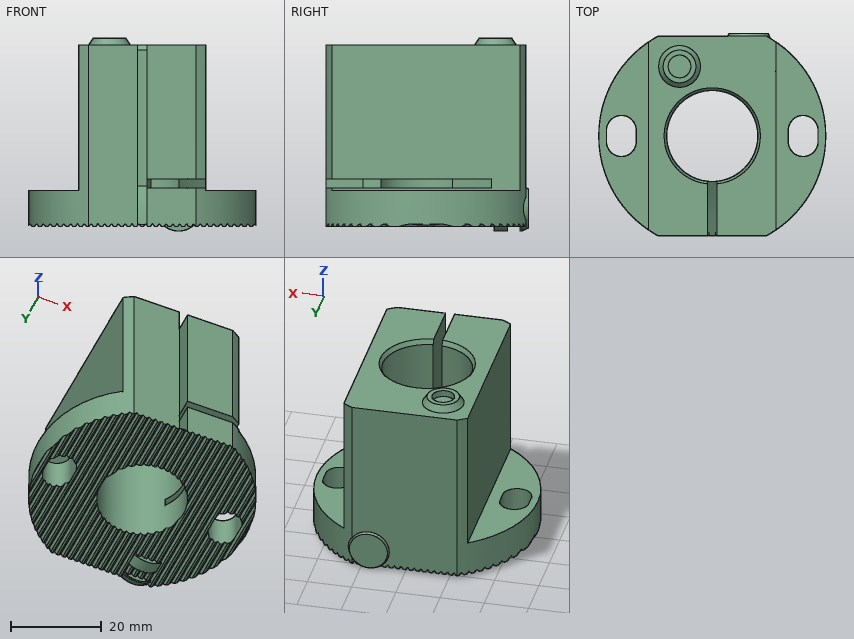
import cadquery as cq
import math

disc_radius = 25.0
flat_half_depth = 22.0
block_half_width = 14.0
body_height = 40.0
flange_height = 8.0

bore_radius = 10.0
lead_in_radius = 10.6
lead_in_depth = 1.1

mount_hole_x = 20.0
mount_hole_width = 6.5
mount_hole_length = 9.0

saw_radius = 62.5
slit_width = 2.0
upright_saw_y = -51.75
upright_saw_z = 55.4
level_saw_x = saw_radius
level_saw_y = -25.0
level_slit_bottom = 8.5

nipple_x = -7.2
nipple_y = 15.3
nipple_height = 1.5
nipple_base_radius = 4.6
nipple_top_radius = 3.6
recess_radius = 2.5
recess_depth = nipple_height

screw_x = 8.0
screw_z = 4.0
screw_radius = 5.0
collar_start_y = 15.0
collar_end_y = 18.0
head_start_y = 20.7
head_taper_y = 21.1
head_end_y = 22.6
head_end_radius = 4.3

groove_pitch = 1.5
groove_depth = 0.6
groove_half_width = 0.5


def make_body():
    """Disc with two flats, cut in on both sides above the flange."""
    disc = cq.Workplane("XY").circle(disc_radius).extrude(body_height)
    flats = cq.Workplane("XY").rect(2 * disc_radius, 2 * flat_half_depth).extrude(body_height)
    flange = cq.Workplane("XY").rect(2 * disc_radius, 2 * disc_radius).extrude(flange_height)
    block = cq.Workplane("XY").rect(2 * block_half_width, 2 * disc_radius).extrude(body_height)
    return disc.intersect(flats).intersect(flange.union(block))


def make_bore():
    """Shaft bore that widens at the top face."""
    return (
        cq.Workplane("XZ")
        .polyline([
            (0, 0),
            (bore_radius, 0),
            (bore_radius, body_height - lead_in_depth),
            (lead_in_radius, body_height),
            (0, body_height),
        ])
        .close()
        .revolve(360, (0, 0, 0), (0, 1, 0))
    )


def make_mounting_holes():
    return (
        cq.Workplane("XY")
        .pushPoints([(-mount_hole_x, 0), (mount_hole_x, 0)])
        .slot2D(mount_hole_length, mount_hole_width, 90)
        .extrude(flange_height)
    )


def make_upright_slit():
    """Slit from the front flat into the bore, with the arc of the blade as its floor."""
    return (
        cq.Workplane("YZ")
        .center(upright_saw_y, upright_saw_z)
        .circle(saw_radius)
        .extrude(slit_width / 2, both=True)
    )


def make_level_slit():
    """Slit from the +X side that frees the right-hand clamping jaw from the base."""
    return (
        cq.Workplane("XY")
        .workplane(offset=level_slit_bottom)
        .center(level_saw_x, level_saw_y)
        .circle(saw_radius)
        .extrude(slit_width)
    )


def make_groove(x):
    """One V-groove in the underside, centred on x."""
    return (
        cq.Workplane("XZ")
        .polyline([
            (x - groove_half_width, 0),
            (x, groove_depth),
            (x + groove_half_width, 0),
        ])
        .close()
        .extrude(disc_radius, both=True)
    )


def make_nipple():
    """Truncated cone with a round recess in its top."""
    top_z = body_height + nipple_height
    cone = (
        cq.Workplane("XY", origin=(nipple_x, nipple_y, body_height))
        .circle(nipple_base_radius)
        .workplane(offset=nipple_height)
        .circle(nipple_top_radius)
        .loft(ruled=True)
    )
    recess = (
        cq.Workplane("XY", origin=(nipple_x, nipple_y, top_z - recess_depth))
        .circle(recess_radius)
        .extrude(recess_depth)
    )
    return cone.cut(recess)


def revolve_about_screw_axis(profile):
    """Solid of revolution from (radius, y) points, about the screw axis along Y."""
    return (
        cq.Workplane("XY", origin=(screw_x, 0, screw_z))
        .polyline(profile)
        .close()
        .revolve(360, (0, 0, 0), (0, 1, 0))
    )


def make_screw():
    """Collar and tapered head of the adjusting screw."""
    collar = revolve_about_screw_axis([
        (0, collar_start_y),
        (screw_radius, collar_start_y),
        (screw_radius, collar_end_y),
        (0, collar_end_y),
    ])
    head = revolve_about_screw_axis([
        (0, head_start_y),
        (screw_radius, head_start_y),
        (screw_radius, head_taper_y),
        (head_end_radius, head_end_y),
        (0, head_end_y),
    ])
    return collar.union(head)


body = make_body()
body = body.cut(make_bore()).cut(make_mounting_holes())
body = body.cut(make_upright_slit())

for pair in range(math.ceil(disc_radius / groove_pitch)):
    groove_x = groove_pitch / 2 + pair * groove_pitch
    body = body.cut(make_groove(-groove_x))
    body = body.cut(make_groove(groove_x))

result = body.union(make_screw()).cut(make_level_slit()).union(make_nipple())